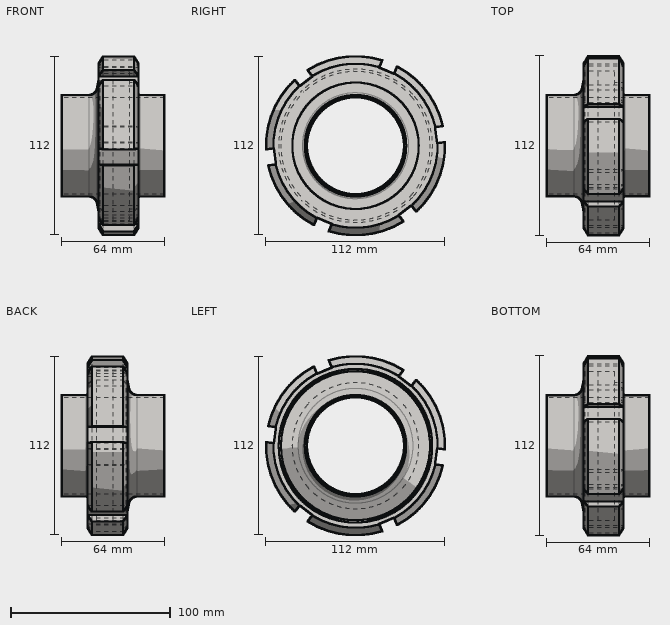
import cadquery as cq
import math

overall_length = 64.0
bore_radius = 60.5 / 2
tube_radius = 63.5 / 2
joint_x = 32.1

nut_radius = 56.0
nut_start = 22.9
nut_end = 48.0
chamfer_length = 2.9
chamfer_height = 4.7
nut_bore_radius = 46.5
mouth_radius = 48.0
mouth_depth = 0.9
nut_opening_radius = 79.0 / 2
nut_lip = 5.6
lip_start = nut_end - nut_lip
slot_count = 6
slot_width = 10.0
slot_floor = 50.8
slot_angle = 37.5

male_fillet_start = 16.9
male_fillet = 5.1
cone_angle = 11.0

hub_end = 47.6
liner_fillet = 1.5

DIAGONAL = math.sqrt(0.5)


def revolve_about_x(profile):
    """Turn a closed (x, radius) outline about the X axis."""
    return profile.close().revolve(360, (0, 0, 0), (1, 0, 0))


def make_male_part():
    """Tube that flares through a fillet into a conical flange."""
    tilt = math.radians(cone_angle)
    mid_turn = (math.pi / 2 - tilt) / 2
    end_turn = 2 * mid_turn

    def fillet_point(turn):
        x = male_fillet_start + male_fillet * math.sin(turn)
        return x, tube_radius + male_fillet * (1 - math.cos(turn))

    cone_x, cone_radius = fillet_point(end_turn)
    rim_x = cone_x + (nut_bore_radius - cone_radius) * math.tan(tilt)
    return revolve_about_x(
        cq.Workplane("XY")
        .moveTo(0, bore_radius)
        .lineTo(0, tube_radius)
        .lineTo(male_fillet_start, tube_radius)
        .threePointArc(fillet_point(mid_turn), (cone_x, cone_radius))
        .lineTo(rim_x, nut_bore_radius)
        .lineTo(joint_x, nut_bore_radius)
        .lineTo(joint_x, bore_radius)
    )


def make_liner():
    """Tube with a collar behind the nut lip and a hub through the nut opening."""
    fillet_end = hub_end + liner_fillet
    fillet_top = tube_radius + liner_fillet
    fillet_middle = (
        fillet_end - liner_fillet * DIAGONAL,
        fillet_top - liner_fillet * DIAGONAL,
    )
    return revolve_about_x(
        cq.Workplane("XY")
        .moveTo(joint_x, bore_radius)
        .lineTo(joint_x, nut_bore_radius)
        .lineTo(lip_start, nut_bore_radius)
        .lineTo(lip_start, nut_opening_radius)
        .lineTo(hub_end, nut_opening_radius)
        .lineTo(hub_end, fillet_top)
        .threePointArc(fillet_middle, (fillet_end, tube_radius))
        .lineTo(overall_length, tube_radius)
        .lineTo(overall_length, bore_radius)
    )


def make_nut():
    """Chamfered ring with a bevelled mouth, an inner lip and spanner slots."""
    face_radius = nut_radius - chamfer_height
    nut = revolve_about_x(
        cq.Workplane("XY")
        .moveTo(nut_start, mouth_radius)
        .lineTo(nut_start, face_radius)
        .lineTo(nut_start + chamfer_length, nut_radius)
        .lineTo(nut_end - chamfer_length, nut_radius)
        .lineTo(nut_end, face_radius)
        .lineTo(nut_end, nut_opening_radius)
        .lineTo(lip_start, nut_opening_radius)
        .lineTo(lip_start, nut_bore_radius)
        .lineTo(nut_start + mouth_depth, nut_bore_radius)
    )
    slot_cutter = cq.Workplane("XY").box(
        nut_end - nut_start, slot_width, nut_radius, centered=(False, True, False)
    ).translate((nut_start, 0, slot_floor))
    for index in range(slot_count):
        angle = slot_angle + index * 360 / slot_count
        nut = nut.cut(slot_cutter.rotate((0, 0, 0), (1, 0, 0), angle))
    return nut


male_part = make_male_part()
liner = make_liner()
nut = make_nut()

result = cq.Compound.makeCompound([male_part.val(), liner.val(), nut.val()])